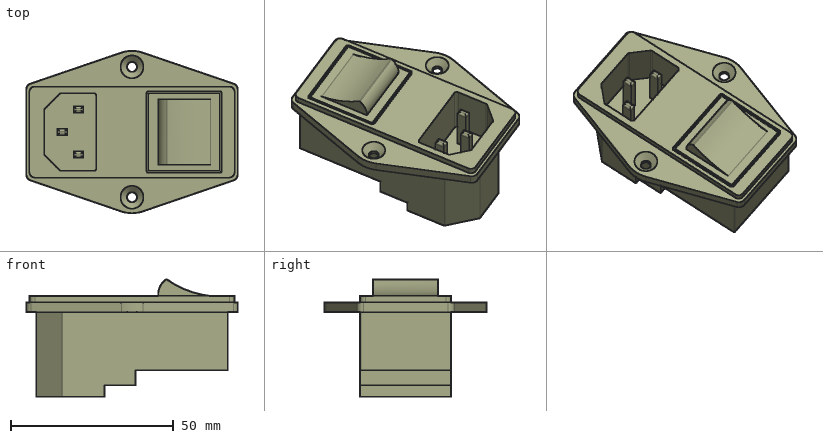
import cadquery as cq
import math

FLANGE_LENGTH = 65.0
FLANGE_WIDTH = 49.9
FLANGE_THICKNESS = 3.0
FLANGE_CORNER_Y = 14.4
FLANGE_EAR_RADIUS = 10.0
FLANGE_CORNER_RADIUS = 2.0

SCREW_OFFSET_Y = 20.0
SCREW_HOLE_DIAMETER = 3.0
COUNTERSINK_DIAMETER = 7.0
COUNTERSINK_ANGLE = 90

BEZEL_LENGTH = 63.0
BEZEL_WIDTH = 27.95
BEZEL_THICKNESS = 2.0
BEZEL_CORNER_RADIUS = 1.6
BEZEL_TOP = FLANGE_THICKNESS + BEZEL_THICKNESS

BODY_LENGTH = 58.9
BODY_DEPTH = 26.0
BODY_CORNER_CUT = 8.0
BODY_EDGE_RADIUS = 0.2
LOW_STEP_X = -8.4
LOW_STEP_HEIGHT = 3.5
HIGH_STEP_X = 1.1
HIGH_STEP_HEIGHT = 4.6

INLET_CENTER_X = -19.0
INLET_LENGTH = 16.0
INLET_WIDTH = 23.9
INLET_CORNER_CUT = 5.0
INLET_CORNER_RADIUS = 0.85
INLET_DEPTH = 16.0

PIN_LENGTH = 3.0
PIN_WIDTH = 2.0
PIN_TIP_RADIUS = 0.7
PIN_TOP_BELOW_BEZEL = 1.8
LINE_PIN_X = -16.45
LINE_PIN_Y = 6.95
EARTH_PIN_X = -21.45

SWITCH_CENTER_X = 16.0
GROOVE_LENGTH = 23.1
GROOVE_WIDTH = 25.1
GROOVE_GAP = 0.6
GROOVE_DEPTH = 0.5
GROOVE_OUTER_RADIUS = 0.65
GROOVE_INNER_RADIUS = 0.3

ROCKER_LENGTH = 16.0
ROCKER_WIDTH = 20.0
ROCKER_HEIGHT = 5.15
ROCKER_FOOT_HEIGHT = 0.4
ROCKER_CREST_OFFSET = 2.6
ROCKER_FACE_SAG = 0.9
ROCKER_CREST_RADIUS = 0.2


def cut_corner_prism(length, width, corner_cut, height):
    """Box centred on X and Y, from Z = 0 upward, with both -X corners cut at 45 degrees."""
    prism = cq.Workplane("XY").box(length, width, height, centered=(True, True, False))
    return prism.edges("|Z and <X").chamfer(corner_cut)


def sagging_midpoint(start, end, sag):
    """Midpoint of a chord running in +X, dropped by sag square to the chord."""
    dx = end[0] - start[0]
    dz = end[1] - start[1]
    chord = math.hypot(dx, dz)
    mid_x = (start[0] + end[0]) / 2 + sag * dz / chord
    mid_z = (start[1] + end[1]) / 2 - sag * dx / chord
    return mid_x, mid_z


def make_flange():
    half_length = FLANGE_LENGTH / 2
    ear_center_y = FLANGE_WIDTH / 2 - FLANGE_EAR_RADIUS
    corner_rise = FLANGE_CORNER_Y - ear_center_y
    corner_distance = math.hypot(half_length, corner_rise)
    slope = math.asin(FLANGE_EAR_RADIUS / corner_distance) + math.atan2(-corner_rise, half_length)
    ear_peak_y = FLANGE_CORNER_Y + half_length * math.tan(slope)
    outline = [
        (half_length, -FLANGE_CORNER_Y),
        (half_length, FLANGE_CORNER_Y),
        (0, ear_peak_y),
        (-half_length, FLANGE_CORNER_Y),
        (-half_length, -FLANGE_CORNER_Y),
        (0, -ear_peak_y),
    ]
    flange = cq.Workplane("XY").polyline(outline).close().extrude(FLANGE_THICKNESS)
    flange = flange.edges("|Z and (<X or >X)").fillet(FLANGE_CORNER_RADIUS)
    flange = flange.edges("|Z and (<Y or >Y)").fillet(FLANGE_EAR_RADIUS)
    screw_points = [(0, SCREW_OFFSET_Y), (0, -SCREW_OFFSET_Y)]
    return (
        flange.faces(">Z").workplane(origin=(0, 0, 0)).pushPoints(screw_points)
        .cskHole(SCREW_HOLE_DIAMETER, COUNTERSINK_DIAMETER, COUNTERSINK_ANGLE)
    )


def make_bezel():
    return (
        cq.Workplane("XY", origin=(0, 0, FLANGE_THICKNESS))
        .rect(BEZEL_LENGTH, BEZEL_WIDTH).extrude(BEZEL_THICKNESS)
        .edges("|Z").fillet(BEZEL_CORNER_RADIUS)
    )


def make_body():
    body = cut_corner_prism(BODY_LENGTH, BEZEL_WIDTH, BODY_CORNER_CUT, BODY_DEPTH)
    body = body.edges("|Z").fillet(BODY_EDGE_RADIUS).translate((0, 0, -BODY_DEPTH))
    right = BODY_LENGTH / 2
    low_step_z = LOW_STEP_HEIGHT - BODY_DEPTH
    high_step_z = low_step_z + HIGH_STEP_HEIGHT
    steps = (
        cq.Workplane("XZ").moveTo(LOW_STEP_X, -BODY_DEPTH)
        .lineTo(LOW_STEP_X, low_step_z).lineTo(HIGH_STEP_X, low_step_z)
        .lineTo(HIGH_STEP_X, high_step_z).lineTo(right, high_step_z)
        .lineTo(right, -BODY_DEPTH).close()
        .extrude(BEZEL_WIDTH / 2, both=True)
    )
    return body.cut(steps)


def make_inlet_recess():
    recess = cut_corner_prism(INLET_LENGTH, INLET_WIDTH, INLET_CORNER_CUT, INLET_DEPTH)
    recess = recess.edges("|Z").fillet(INLET_CORNER_RADIUS)
    return recess.translate((INLET_CENTER_X, 0, BEZEL_TOP - INLET_DEPTH))


def make_pins():
    pin_points = [(LINE_PIN_X, LINE_PIN_Y), (EARTH_PIN_X, 0), (LINE_PIN_X, -LINE_PIN_Y)]
    return (
        cq.Workplane("XY", origin=(0, 0, BEZEL_TOP - INLET_DEPTH)).pushPoints(pin_points)
        .rect(PIN_LENGTH, PIN_WIDTH).extrude(INLET_DEPTH - PIN_TOP_BELOW_BEZEL)
        .faces(">Z").edges().fillet(PIN_TIP_RADIUS)
    )


def make_switch_groove():
    def block(inset, corner_radius):
        return (
            cq.Workplane("XY", origin=(SWITCH_CENTER_X, 0, BEZEL_TOP - GROOVE_DEPTH))
            .rect(GROOVE_LENGTH - 2 * inset, GROOVE_WIDTH - 2 * inset).extrude(GROOVE_DEPTH)
            .edges("|Z").fillet(corner_radius)
        )

    return block(0, GROOVE_OUTER_RADIUS).cut(block(GROOVE_GAP, GROOVE_INNER_RADIUS))


def make_rocker():
    left = SWITCH_CENTER_X - ROCKER_LENGTH / 2
    foot_top = (left, BEZEL_TOP + ROCKER_FOOT_HEIGHT)
    crest = (left + ROCKER_CREST_OFFSET, BEZEL_TOP + ROCKER_HEIGHT)
    toe = (left + ROCKER_LENGTH, BEZEL_TOP)
    return (
        cq.Workplane("XZ").moveTo(left, BEZEL_TOP).lineTo(*foot_top)
        .tangentArcPoint(crest, relative=False)
        .threePointArc(sagging_midpoint(crest, toe, ROCKER_FACE_SAG), toe)
        .close().extrude(ROCKER_WIDTH / 2, both=True)
        .edges("|Y and >Z").fillet(ROCKER_CREST_RADIUS)
    )


housing = make_flange().union(make_body()).union(make_bezel())
housing = housing.cut(make_inlet_recess()).cut(make_switch_groove())
result = housing.union(make_pins()).union(make_rocker())